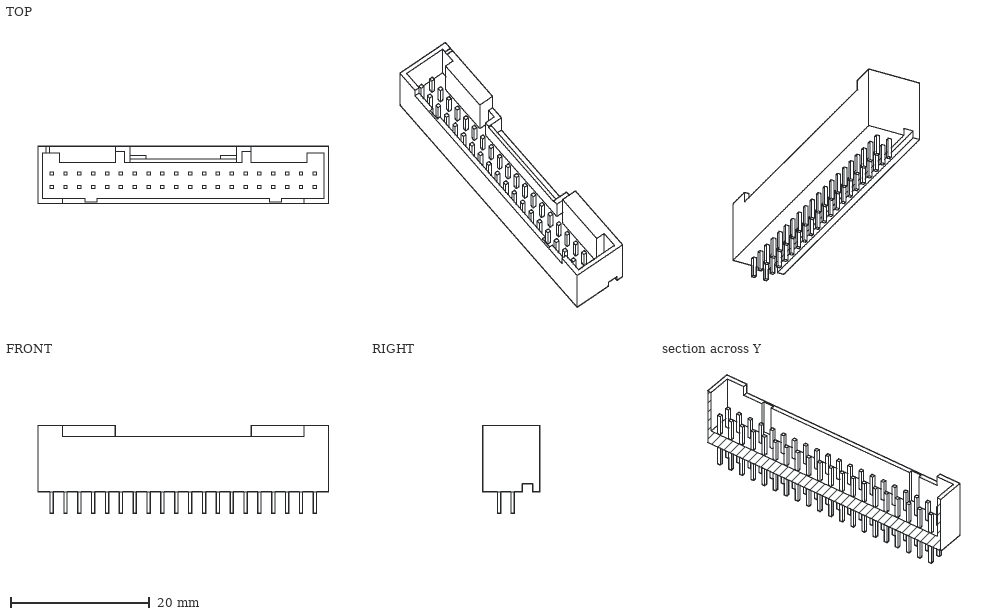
import cadquery as cq
LENGTH = 42.0
DEPTH = 8.3
TOTAL_HEIGHT = 12.7
BODY_HEIGHT = 9.6
LEFT = -LENGTH / 2
RIGHT = LENGTH / 2
FRONT = -DEPTH / 2
BACK = DEPTH / 2

END_WALL = 0.65
FRONT_WALL = 0.75
BACK_WALL = 1.0
FLOOR = 2.5
CAVITY_FRONT = FRONT + FRONT_WALL
INNER_HALF_LENGTH = RIGHT - END_WALL

BLOCK_DEPTH = 2.35
BLOCK_END_GAP = 3.1
BLOCK_LENGTH = 8.1
BLOCK_FACE = BACK - BLOCK_DEPTH
BLOCK_OUTER = RIGHT - BLOCK_END_GAP
BLOCK_INNER = BLOCK_OUTER - BLOCK_LENGTH

RIM_DROP = 1.6
RIM_END_LENGTH = 3.6
RIM_NOTCH_HALF_LENGTH = RIGHT - RIM_END_LENGTH
THIN_WALL_TOP = 5.9
JOG_TOP = 6.2

JOG_WALL = 0.75
JOG_LENGTH = 2.1
RECESS_HALF_LENGTH = BLOCK_INNER - JOG_LENGTH
THIN_WALL = 0.5
LEDGE_HEIGHT = FLOOR
RIB_LENGTH = 2.3
RIB_THICKNESS = 0.5
RIB_HEIGHT = 1.0

KEY_X = 13.3
KEY_WIDTH = 1.7
KEY_DEPTH = 0.5

MARK_END_GAP = 1.2
MARK_START = LEFT + MARK_END_GAP
MARK_WIDTH = 0.5
MARK_DEPTH = 0.1

CHANNEL_FROM_BACK = 1.05
CHANNEL_WIDTH = 1.5
CHANNEL_HEIGHT = 1.15

PINS_PER_ROW = 20
PITCH = 2.0
PIN_SIZE = 0.5
PIN_TAIL = TOTAL_HEIGHT - BODY_HEIGHT
PIN_TOP = 5.85
BACK_ROW_INSET = 3.95
BACK_ROW_Y = BACK - BACK_ROW_INSET
ROW_SPACING = 1.95
PIN_ROWS = (BACK_ROW_Y, BACK_ROW_Y - ROW_SPACING)


def box(x_min, x_max, y_min, y_max, z_min, z_max):
    """Axis-aligned box between two opposite corners."""
    size = (x_max - x_min, y_max - y_min, z_max - z_min)
    return cq.Workplane("XY").box(*size, centered=False).translate((x_min, y_min, z_min))


def mirrored_pair(shape):
    """The shape together with its copy at the opposite end."""
    return shape.union(shape.mirror("YZ"))


def cut_cavity(body):
    """Hollow the body around the guide blocks, leaving walls and a floor."""
    main = box(-INNER_HALF_LENGTH, INNER_HALF_LENGTH, CAVITY_FRONT, BLOCK_FACE, FLOOR, BODY_HEIGHT)
    corner = box(BLOCK_OUTER, INNER_HALF_LENGTH, BLOCK_FACE, BACK - BACK_WALL, FLOOR, BODY_HEIGHT)
    return body.cut(main).cut(mirrored_pair(corner))


def cut_rims(body):
    """Lower the middle of the front wall and the back wall between the blocks."""
    front = box(
        -RIM_NOTCH_HALF_LENGTH, RIM_NOTCH_HALF_LENGTH, FRONT, CAVITY_FRONT,
        BODY_HEIGHT - RIM_DROP, BODY_HEIGHT,
    )
    jogs = box(-BLOCK_INNER, BLOCK_INNER, BLOCK_FACE, BACK, JOG_TOP, BODY_HEIGHT)
    thin_wall = box(
        -RECESS_HALF_LENGTH, RECESS_HALF_LENGTH, BLOCK_FACE, BACK, THIN_WALL_TOP, BODY_HEIGHT,
    )
    return body.cut(front).cut(jogs).cut(thin_wall)


def cut_back_jogs(body):
    """Cut the pockets beside the blocks and the ribbed recess behind the thin wall."""
    pocket = box(
        RECESS_HALF_LENGTH + JOG_WALL, BLOCK_INNER, BLOCK_FACE, BACK - JOG_WALL, FLOOR, JOG_TOP,
    )
    recess_face = BLOCK_FACE + THIN_WALL
    recess = box(
        -RECESS_HALF_LENGTH, RECESS_HALF_LENGTH, recess_face, BACK, LEDGE_HEIGHT, THIN_WALL_TOP,
    )
    rib = box(
        RECESS_HALF_LENGTH - RIB_LENGTH, RECESS_HALF_LENGTH,
        recess_face, recess_face + RIB_THICKNESS, LEDGE_HEIGHT, LEDGE_HEIGHT + RIB_HEIGHT,
    )
    return body.cut(mirrored_pair(pocket)).cut(recess).union(mirrored_pair(rib))


def cut_key_slots(body):
    """Cut the two upright key slots in the inner face of the front wall."""
    slot = box(
        KEY_X - KEY_WIDTH / 2, KEY_X + KEY_WIDTH / 2,
        CAVITY_FRONT - KEY_DEPTH, CAVITY_FRONT, FLOOR, BODY_HEIGHT,
    )
    return body.cut(mirrored_pair(slot))


def cut_mark(body):
    """Cut the shallow pin-one groove across the top of the back wall."""
    mark = box(
        MARK_START, MARK_START + MARK_WIDTH, BACK - BACK_WALL, BACK,
        BODY_HEIGHT - MARK_DEPTH, BODY_HEIGHT,
    )
    return body.cut(mark)


def cut_channel(body):
    """Cut the rectangular channel along the whole underside."""
    channel_back = BACK - CHANNEL_FROM_BACK
    channel = box(LEFT, RIGHT, channel_back - CHANNEL_WIDTH, channel_back, 0, CHANNEL_HEIGHT)
    return body.cut(channel)


def add_pins(body):
    """Add both rows of square pins, reaching from the cavity to below the body."""
    half = PIN_SIZE / 2
    for row_y in PIN_ROWS:
        for index in range(PINS_PER_ROW):
            x = (index - (PINS_PER_ROW - 1) / 2) * PITCH
            body = body.union(box(x - half, x + half, row_y - half, row_y + half, -PIN_TAIL, PIN_TOP))
    return body


result = box(LEFT, RIGHT, FRONT, BACK, 0, BODY_HEIGHT)
for add_feature in (
    cut_cavity, cut_rims, cut_back_jogs, cut_key_slots, cut_mark, cut_channel, add_pins,
):
    result = add_feature(result)